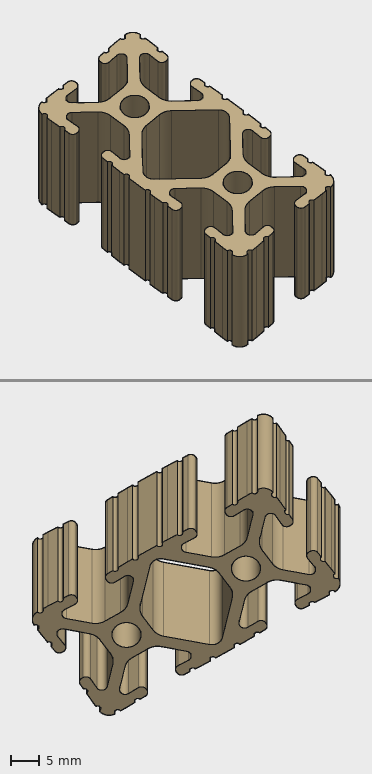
import cadquery as cq
import math

cell = 25.4
half_cell = cell / 2
width = 2 * cell
height = 25.4
outer_corner_radius = 2.05

bore_diameter = 5.2
core_half = 4.5
web_thickness = 2.25
web_offset = web_thickness / math.sqrt(2)
core_fillet = 3.05

slot_opening = 6.45
lip_thickness = 2.2
lip_droop = math.radians(2.0)
droop_start = 8.45
slot_root_fillet = 1.0
lip_tip_fillet = 0.95

groove_radius = 0.55
groove_positions = (5.85, 10.1)

cavity_peak_fillet = 1.95

cut_clearance = 1.0

slots = (
    (-half_cell, 0),
    (half_cell, 0),
    (-half_cell, 180),
    (half_cell, 180),
    (-half_cell, 90),
    (half_cell, -90),
)


def prism(points):
    """Closed outline extruded over the full height, centred on Z = 0."""
    return cq.Workplane("XY", origin=(0, 0, -height / 2)).polyline(points).close().extrude(height)


def round_edges(body, points, radius):
    """Fillet the upright edges that pass through the given XY points."""
    for x, y in points:
        body = body.edges("|Z").edges(cq.NearestToPointSelector((x, y, 0))).fillet(radius)
    return body


def mirrored(point):
    """The point and its mirror image across the Y axis."""
    return [point, (-point[0], point[1])]


def slot_cutter():
    """T-slot opening towards +Y, with the centre of its cell at the origin."""
    tip_x = slot_opening / 2
    slope = math.tan(lip_droop)
    tip_outer_y = half_cell - (droop_start - tip_x) * slope
    tip_inner_y = tip_outer_y - lip_thickness

    root_x = (tip_inner_y - tip_x * slope - web_offset) / (1 - slope)

    core = (core_half - web_offset, core_half)
    root = (root_x, root_x + web_offset)
    tip_inner = (tip_x, tip_inner_y)
    tip_outer = (tip_x, tip_outer_y)
    droop_edge = (droop_start, half_cell)
    outside = (droop_start, half_cell + cut_clearance)

    right_side = [core, root, tip_inner, tip_outer, droop_edge, outside]
    left_side = [(-x, y) for x, y in reversed(right_side)]
    cutter = prism(right_side + left_side)
    cutter = round_edges(cutter, mirrored(core), core_fillet)
    cutter = round_edges(cutter, mirrored(root), slot_root_fillet)
    return round_edges(cutter, mirrored(tip_inner) + mirrored(tip_outer), lip_tip_fillet)


def groove_cutter():
    """Four grooves along the +Y face of a cell centred on the origin."""
    centres = [(side * x, half_cell) for x in groove_positions for side in (-1, 1)]
    circles = cq.Workplane("XY", origin=(0, 0, -height / 2)).pushPoints(centres).circle(groove_radius)
    return circles.extrude(height)


def cavity_cutter():
    """Six-sided cavity bounded by the webs and cores of both cells."""
    side_x = half_cell - core_half
    side_y = core_half - web_offset
    peak_y = half_cell - web_offset
    sides = [(x, y) for x in (-side_x, side_x) for y in (-side_y, side_y)]
    peaks = [(0, -peak_y), (0, peak_y)]
    outline = [sides[0], peaks[0], sides[2], sides[3], peaks[1], sides[1]]
    cutter = round_edges(prism(outline), sides, core_fillet)
    return round_edges(cutter, peaks, cavity_peak_fillet)


result = cq.Workplane("XY").box(width, cell, height).edges("|Z").fillet(outer_corner_radius)

face_cutters = (slot_cutter(), groove_cutter())
for cell_x, direction in slots:
    for cutter in face_cutters:
        placed = cutter.rotate((0, 0, 0), (0, 0, 1), direction).translate((cell_x, 0, 0))
        result = result.cut(placed)

result = result.cut(cavity_cutter())
bore_centres = [(-half_cell, 0), (half_cell, 0)]
result = result.faces(">Z").workplane(origin=(0, 0, 0)).pushPoints(bore_centres).hole(bore_diameter)